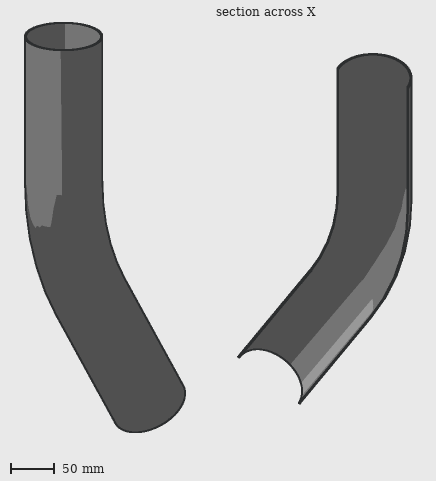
import cadquery as cq
import math

overall_height = 506.5
outer_diameter = 89.0
inner_diameter = 85.5
bend_radius = 305.0
bend_angle = math.radians(30)

outer_radius = outer_diameter / 2
bend_height = bend_radius * math.sin(bend_angle)
end_face_drop = outer_radius * math.sin(bend_angle)
leg_length = (overall_height - bend_height - end_face_drop) / (1 + math.cos(bend_angle))


def bend_point(angle):
    """Centreline (Y, Z) after turning by angle; the bend starts at the origin."""
    return (
        bend_radius * (1 - math.cos(angle)),
        -bend_radius * math.sin(angle),
    )


bend_end_y, bend_end_z = bend_point(bend_angle)
lower_end = (
    bend_end_y + leg_length * math.sin(bend_angle),
    bend_end_z - leg_length * math.cos(bend_angle),
)
centreline = (
    cq.Workplane("YZ")
    .moveTo(0, leg_length)
    .lineTo(0, 0)
    .threePointArc(bend_point(bend_angle / 2), (bend_end_y, bend_end_z))
    .lineTo(*lower_end)
)

result = (
    cq.Workplane("XY", origin=(0, 0, leg_length))
    .circle(outer_radius)
    .circle(inner_diameter / 2)
    .sweep(centreline)
)